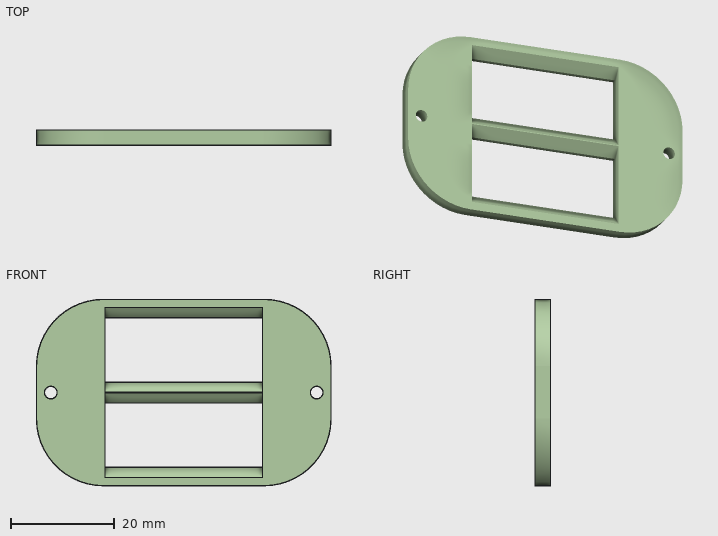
import cadquery as cq

length = 56.9
thickness = 3.0
height = 36.0
corner_radius = 13.0

window_width = 30.3
window_height = 32.8
slope_rise = 2.0
land_depth = 1.0
bar_height = 4.05
bar_nose_height = 0.15
bar_setback = 0.05

hole_diameter = 2.4
hole_spacing = 51.3

front_y = -thickness / 2
back_y = thickness / 2
land_y = back_y - land_depth
nose_y = front_y + bar_setback


def make_plate():
    """Rounded rectangular plate centred on the origin."""
    return (
        cq.Workplane("XY")
        .box(length, thickness, height)
        .edges("|Y")
        .fillet(corner_radius)
    )


def extrude_across_window(profile):
    """Extrude a closed (y, z) outline over the width of the window."""
    return (
        cq.Workplane("YZ")
        .polyline(profile)
        .close()
        .extrude(window_width / 2, both=True)
    )


def make_window():
    """Opening that narrows towards a straight land at the back."""
    front_z = window_height / 2
    back_z = front_z - slope_rise
    return extrude_across_window([
        (front_y, -front_z),
        (front_y, front_z),
        (land_y, back_z),
        (back_y, back_z),
        (back_y, -back_z),
        (land_y, -back_z),
    ])


def make_crossbar():
    """Bar across the middle of the window, tapering to a narrow nose at the front."""
    half_height = bar_height / 2
    return extrude_across_window([
        (nose_y, -bar_nose_height / 2),
        (nose_y, bar_nose_height / 2),
        (land_y, half_height),
        (back_y, half_height),
        (back_y, -half_height),
        (land_y, -half_height),
    ])


def make_holes():
    """Through holes at the two ends of the plate."""
    return (
        cq.Workplane("XZ")
        .pushPoints([(-hole_spacing / 2, 0), (hole_spacing / 2, 0)])
        .circle(hole_diameter / 2)
        .extrude(thickness, both=True)
    )


result = make_plate().cut(make_window()).cut(make_holes()).union(make_crossbar())